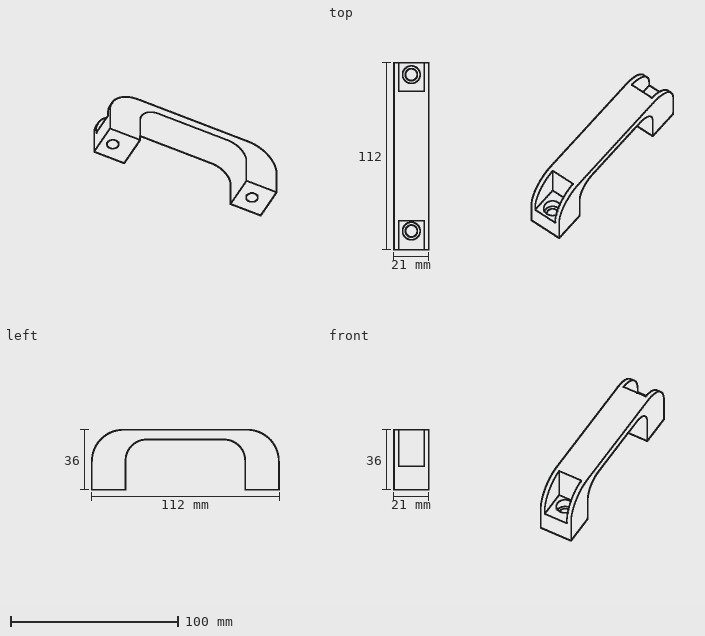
import cadquery as cq

width = 20.98
length = 111.99
height = 35.99

grip_thickness = 6.0
leg_thickness = 20.3
outer_radius = 19.1
inner_radius = 12.5

pocket_width = 15.3
pocket_length = 17.3
pocket_floor = 14.2

hole_spacing = 93.5
hole_pair_offset = 2.0
hole_diameter = 7.0
counterbore_diameter = 10.5
counterbore_depth = 6.0


def make_bow():
    """Solid bow: a rounded block with a rounded opening under the grip."""
    block = (
        cq.Workplane("XY")
        .box(width, length, height, centered=(True, True, False))
        .faces(">Z")
        .edges("|X")
        .fillet(outer_radius)
    )
    opening = (
        cq.Workplane("XY")
        .box(width, length - 2 * leg_thickness, height - grip_thickness, centered=(True, True, False))
        .faces(">Z")
        .edges("|X")
        .fillet(inner_radius)
    )
    return block.cut(opening)


def make_pocket(side):
    """Pocket volume, open to the top and to the end face at the given side (+1 or -1)."""
    center_y = side * (length - pocket_length) / 2
    return (
        cq.Workplane("XY", origin=(0, center_y, pocket_floor))
        .box(pocket_width, pocket_length, height - pocket_floor, centered=(True, True, False))
    )


def make_screw_hole(side):
    """Through hole with a counterbore sunk into the pocket floor."""
    center_y = hole_pair_offset + side * hole_spacing / 2
    bore = cq.Workplane("XY", origin=(0, center_y, 0)).circle(hole_diameter / 2).extrude(pocket_floor)
    counterbore = (
        cq.Workplane("XY", origin=(0, center_y, pocket_floor - counterbore_depth))
        .circle(counterbore_diameter / 2)
        .extrude(counterbore_depth)
    )
    return bore.union(counterbore)


result = make_bow()
for side in (-1, 1):
    result = result.cut(make_pocket(side)).cut(make_screw_hole(side))